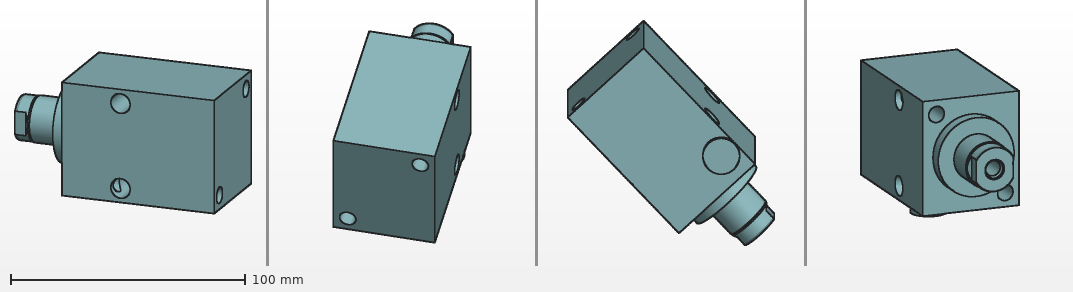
import cadquery as cq

BODY_LENGTH = 69.7
BODY_WIDTH = 44.5
BODY_HEIGHT = 50.9

TOTAL_LENGTH = 96.5
COLLAR_DIAMETER = 35.0
COLLAR_LENGTH = 6.0
ROD_DIAMETER = 20.6
NECK_DIAMETER = 20.0
NECK_LENGTH = 6.6
TAPER_LENGTH = 0.9
TIP_ROUND_LENGTH = 1
TIP_ROUND_DEPTH = 0.3

FLAT_SPACING = 17.0
FLAT_LENGTH = 5.0

TIP_HOLE_DIAMETER = 6.8
TIP_HOLE_DEPTH = 15.4
MOUTH_DIAMETER = 8.9
MOUTH_LENGTH = 0.5
FUNNEL_DIAMETER = 7.9
FUNNEL_LENGTH = 1.6

HOLE_INSET = 6.4
CROSS_HOLE_DIAMETER = 8.8
CROSS_HOLE_SETBACK = 26.8
LONG_HOLE_DIAMETER = 7.1

PAD_DIAMETER = 15.7
PAD_HEIGHT = 2.2
PAD_SETBACK = 12.7

ROD_TIP_X = BODY_LENGTH - TOTAL_LENGTH
HOLE_Y = BODY_WIDTH / 2 - HOLE_INSET
HOLE_Z = BODY_HEIGHT / 2 - HOLE_INSET


def make_rod():
    """Revolve the rod with its rounded tip and the taper from neck to full diameter."""
    rod_radius = ROD_DIAMETER / 2
    neck_radius = NECK_DIAMETER / 2
    neck_end_x = ROD_TIP_X + NECK_LENGTH
    round_radius = (TIP_ROUND_LENGTH**2 + TIP_ROUND_DEPTH**2) / (2 * TIP_ROUND_DEPTH)
    return (
        cq.Workplane("XY")
        .moveTo(ROD_TIP_X, 0)
        .lineTo(ROD_TIP_X, neck_radius - TIP_ROUND_DEPTH)
        .radiusArc((ROD_TIP_X + TIP_ROUND_LENGTH, neck_radius), round_radius)
        .lineTo(neck_end_x, neck_radius)
        .lineTo(neck_end_x + TAPER_LENGTH, rod_radius)
        .lineTo(0, rod_radius)
        .lineTo(0, 0)
        .close()
        .revolve(360, (0, 0, 0), (1, 0, 0))
    )


def make_flat_cutter():
    """Cutter for the +Y wrench flat, ending in a 45 degree run-out."""
    flat_y = FLAT_SPACING / 2
    flat_end_x = ROD_TIP_X + FLAT_LENGTH
    runout = NECK_DIAMETER / 2 - flat_y
    return (
        cq.Workplane("XY")
        .moveTo(ROD_TIP_X, flat_y)
        .lineTo(flat_end_x, flat_y)
        .lineTo(flat_end_x + runout, flat_y + runout)
        .lineTo(ROD_TIP_X, flat_y + runout)
        .close()
        .extrude(ROD_DIAMETER / 2, both=True)
    )


def make_tip_hole():
    """Blind hole entered through a wide mouth cone and a slimmer funnel cone."""
    hole_radius = TIP_HOLE_DIAMETER / 2
    funnel_x = ROD_TIP_X + MOUTH_LENGTH
    bottom_x = ROD_TIP_X + TIP_HOLE_DEPTH
    return (
        cq.Workplane("XY")
        .moveTo(ROD_TIP_X, 0)
        .lineTo(ROD_TIP_X, MOUTH_DIAMETER / 2)
        .lineTo(funnel_x, FUNNEL_DIAMETER / 2)
        .lineTo(funnel_x + FUNNEL_LENGTH, hole_radius)
        .lineTo(bottom_x, hole_radius)
        .lineTo(bottom_x, 0)
        .close()
        .revolve(360, (0, 0, 0), (1, 0, 0))
    )


def make_pad():
    pad_y = (BODY_WIDTH - PAD_DIAMETER) / 2
    return (
        cq.Workplane("XY", origin=(PAD_SETBACK, pad_y, -BODY_HEIGHT / 2))
        .circle(PAD_DIAMETER / 2)
        .extrude(-PAD_HEIGHT)
    )


body = cq.Workplane("XY").box(BODY_LENGTH, BODY_WIDTH, BODY_HEIGHT, centered=(False, True, True))
collar = cq.Workplane("YZ").circle(COLLAR_DIAMETER / 2).extrude(-COLLAR_LENGTH)
result = body.union(collar).union(make_rod()).union(make_pad())

flat_cutter = make_flat_cutter()
result = result.cut(flat_cutter).cut(flat_cutter.mirror("XZ")).cut(make_tip_hole())

cross_holes = (
    cq.Workplane("XZ")
    .pushPoints([(CROSS_HOLE_SETBACK, HOLE_Z), (CROSS_HOLE_SETBACK, -HOLE_Z)])
    .circle(CROSS_HOLE_DIAMETER / 2)
    .extrude(BODY_WIDTH, both=True)
)
long_holes = (
    cq.Workplane("YZ")
    .pushPoints([(HOLE_Y, HOLE_Z), (-HOLE_Y, -HOLE_Z)])
    .circle(LONG_HOLE_DIAMETER / 2)
    .extrude(BODY_LENGTH)
)
result = result.cut(cross_holes).cut(long_holes)